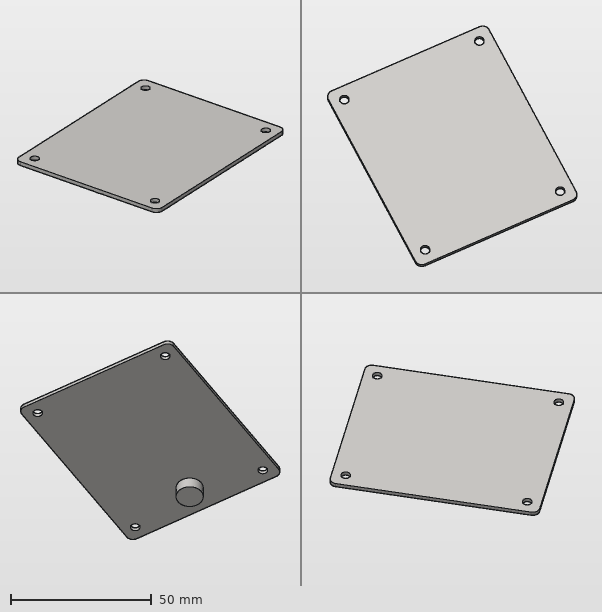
import cadquery as cq

plate_width = 63.5
plate_length = 76.2
plate_thickness = 1.57
corner_radius = 2.54

hole_diameter = 3.33
hole_inset = 5.08

overall_height = 6.07
boss_diameter = 9.7
boss_height = overall_height - plate_thickness
boss_edge_distance = 11.43
boss_y = boss_edge_distance - plate_length / 2


def make_plate():
    """Rounded plate resting on Z = 0 with four through holes."""
    blank = (
        cq.Workplane("XY")
        .rect(plate_width, plate_length)
        .extrude(plate_thickness)
        .edges("|Z")
        .fillet(corner_radius)
    )
    return (
        blank.faces(">Z")
        .workplane()
        .rect(plate_width - 2 * hole_inset, plate_length - 2 * hole_inset, forConstruction=True)
        .vertices()
        .hole(hole_diameter)
    )


def make_boss():
    """Solid cylinder extending down from the underside of the plate."""
    return (
        cq.Workplane("XY")
        .center(0, boss_y)
        .circle(boss_diameter / 2)
        .extrude(-boss_height)
    )


result = make_plate().union(make_boss())